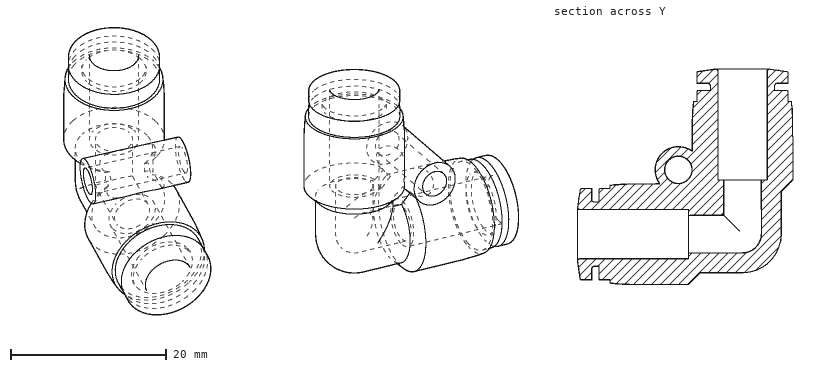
import cadquery as cq
import math

overall = 27.8
body_radius = 13.0 / 2
elbow_radius = 5.0
port_height = overall - body_radius

neck_end = 5.5
shoulder_height = 7.0
taper_start = 14.12
taper_end = 17.1
taper_top_radius = 6.325

flange_radius = 11.8 / 2
collar_top = 18.51
collar_round = 0.15
groove_radius = 8.35 / 2
groove_flare = 0.3
button_bottom = 19.43
button_edge_height = 20.7
button_round_radial = 0.15
button_round_axial = 0.25

tube_radius = 6.35 / 2
flow_radius = 4.8 / 2
mouth_round = 0.3

eye_offset = 8.28
eye_radius = 6.0 / 2
eye_hole_radius = 3.5 / 2
web_thickness = 5.35

arc_cos = math.sqrt(0.5)


def along_x(port):
    """Turn a port built along +Z so that it points along +X."""
    return port.rotate((0, 0, 0), (0, 1, 0), 90)


def port_exterior():
    """Solid outer shape of one port, from the elbow centre to the button face."""
    flare_centre_radius = groove_radius + groove_flare
    flare_centre_height = button_bottom - groove_flare
    flare_middle = (
        flare_centre_radius - groove_flare * arc_cos,
        flare_centre_height + groove_flare * arc_cos,
    )
    button_round_middle = (
        flange_radius - button_round_radial * (1 - arc_cos),
        button_edge_height + button_round_axial * arc_cos,
    )
    collar_round_middle = (
        flange_radius - collar_round * (1 - arc_cos),
        collar_top - collar_round * (1 - arc_cos),
    )
    profile = (
        cq.Workplane("XZ")
        .lineTo(elbow_radius, 0)
        .lineTo(elbow_radius, neck_end)
        .lineTo(body_radius, shoulder_height)
        .lineTo(body_radius, taper_start)
        .tangentArcPoint((taper_top_radius, taper_end), relative=False)
        .lineTo(flange_radius, taper_end)
        .lineTo(flange_radius, collar_top - collar_round)
        .threePointArc(collar_round_middle, (flange_radius - collar_round, collar_top))
        .lineTo(groove_radius, collar_top)
        .lineTo(groove_radius, flare_centre_height)
        .threePointArc(flare_middle, (flare_centre_radius, button_bottom))
        .lineTo(flange_radius, button_bottom)
        .lineTo(flange_radius, button_edge_height)
        .threePointArc(
            button_round_middle,
            (flange_radius - button_round_radial, button_edge_height + button_round_axial),
        )
        .lineTo(tube_radius + mouth_round, port_height)
        .lineTo(0, port_height)
        .close()
    )
    return profile.revolve(360, (0, 0, 0), (0, 1, 0))


def port_bore():
    """Flow passage, wider tube socket and rounded mouth of one port."""
    mouth_middle = (
        tube_radius + mouth_round * (1 - arc_cos),
        port_height - mouth_round * (1 - arc_cos),
    )
    profile = (
        cq.Workplane("XZ")
        .lineTo(flow_radius, 0)
        .lineTo(flow_radius, shoulder_height)
        .lineTo(tube_radius, shoulder_height)
        .lineTo(tube_radius, port_height - mouth_round)
        .threePointArc(mouth_middle, (tube_radius + mouth_round, port_height))
        .lineTo(0, port_height)
        .close()
    )
    return profile.revolve(360, (0, 0, 0), (0, 1, 0))


def eye_cylinder(radius):
    """Cylinder along Y, as long as the body is wide, on the eye's axis."""
    return (
        cq.Workplane("XZ", origin=(eye_offset, body_radius, eye_offset))
        .circle(radius)
        .extrude(2 * body_radius)
    )


exterior = port_exterior()
body = exterior.union(along_x(exterior)).union(cq.Workplane("XY").sphere(elbow_radius))

web = cq.Workplane("XY").box(eye_offset, web_thickness, eye_offset, centered=(False, True, False))
body = body.union(web).union(eye_cylinder(eye_radius))

bore = port_bore()
for cutter in (bore, along_x(bore), cq.Workplane("XY").sphere(flow_radius), eye_cylinder(eye_hole_radius)):
    body = body.cut(cutter)

result = body